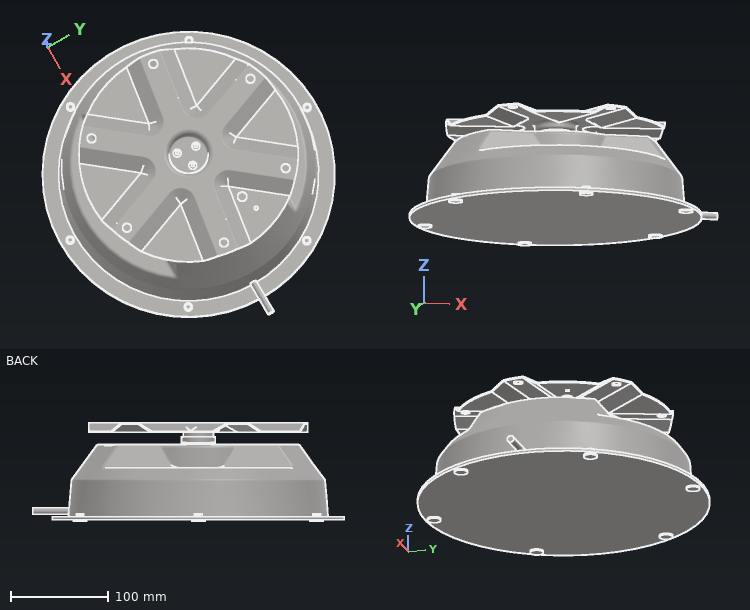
import cadquery as cq
import math

FLANGE_DIAMETER = 300.0
FLANGE_THICKNESS = 3.2
OVERALL_LENGTH = 320
OVERALL_HEIGHT = 101.0

FASTENER_COUNT = 6
FASTENER_CIRCLE_RADIUS = 140.0
FASTENER_FIRST_ANGLE = 30
FASTENER_HEAD_DIAMETER = 13.8
FASTENER_HEAD_HEIGHT = 1.5
STUD_DIAMETER = 8.0
STUD_HEIGHT = 3.0
STUD_BORE_DIAMETER = 5.8
STUD_BORE_DEPTH = 1.5

HOUSING_BOTTOM_RADIUS = 133.8
SHOULDER_RADIUS = 130.2
SHOULDER_Z = 41.0
HOUSING_TOP_RADIUS = 103.7
HOUSING_TOP_Z = 77.5
SHOULDER_FILLET = 3.2

NOTCH_FLOOR_Z = 53.0
NOTCH_WALL_BOTTOM_Y = 69.8
NOTCH_WALL_TOP_Y = 62.7
BULGE_RADIUS = 74.0
NOTCH_FILLET = 4.0

CABLE_DIAMETER = 7.0
CABLE_Z = 9.0
CABLE_END_X = OVERALL_LENGTH - FLANGE_DIAMETER / 2

NECK_DIAMETER = 25.5
COLLAR_DIAMETER = 35.0
COLLAR_BOTTOM_Z = 79.0
COLLAR_TOP_Z = 85.0
HUB_DIAMETER = 31.5

PLATE_DIAMETER = 225.0
SHEET_THICKNESS = 1.45
PLATE_TOP_Z = OVERALL_HEIGHT - FASTENER_HEAD_HEIGHT
PLATE_BOTTOM_Z = 89.5
SPOKE_COUNT = 6
SPOKE_PITCH = 360 / SPOKE_COUNT
SPOKE_ANGLE = -8.8
SPOKE_TOP_HALF_WIDTH = 11.2
SPOKE_BASE_HALF_WIDTH = 26.2
SPOKE_EDGE_FILLET = 2.0
SPOKE_HOLE_DIAMETER = 9.0
SPOKE_HOLE_RADIUS = 100.8

LARGE_HOLE_DIAMETER = 9.5
LARGE_HOLE_POSITION = (65.3, 26.0)
SMALL_HOLE_DIAMETER = 4.0
SMALL_HOLE_POSITION = (83.0, 32.3)

DISH_DIAMETER = 40.0
DISH_RIM_FILLET = 5.5
DISH_FLOOR_FILLET = 1.3

SCREW_COUNT = 3
SCREW_CIRCLE_RADIUS = 12.0
SCREW_HEAD_DIAMETER = 8.0
SCREW_HEAD_HEIGHT = 2.5
SCREW_HEAD_FILLET = 2.0
SCREW_SOCKET_DIAMETER = 3.5
SCREW_SOCKET_DEPTH = 2.0

POSITION_TOLERANCE = 0.3


def cylinder(diameter, bottom_z, top_z):
    return cq.Workplane("XY").workplane(offset=bottom_z).circle(diameter / 2).extrude(top_z - bottom_z)


def around(shape, radius, count, first_angle):
    """Copies of a shape built on the Z axis, spread evenly on a circle."""
    copies = cq.Workplane("XY")
    for index in range(count):
        angle = first_angle + index * 360 / count
        copies = copies.add(shape.translate((radius, 0, 0)).rotate((0, 0, 0), (0, 0, 1), angle))
    return copies.combine()


def make_notch(side):
    """Space outside the sloping wall and the round bulge; side is +1 or -1."""
    reach = FLANGE_DIAMETER / 2
    notch = (
        cq.Workplane("YZ")
        .polyline([
            (side * NOTCH_WALL_BOTTOM_Y, NOTCH_FLOOR_Z),
            (side * reach, NOTCH_FLOOR_Z),
            (side * reach, HOUSING_TOP_Z),
            (side * NOTCH_WALL_TOP_Y, HOUSING_TOP_Z),
        ])
        .close()
        .extrude(reach, both=True)
    )
    return notch.cut(cylinder(2 * BULGE_RADIUS, NOTCH_FLOOR_Z, HOUSING_TOP_Z))


def is_rounded_above_shoulder(edge):
    """All edges of the upper cone and notches, except where a bulge meets a notch floor."""
    centre = edge.Center()
    on_floor = abs(centre.z - NOTCH_FLOOR_Z) < POSITION_TOLERANCE
    bulge_foot = on_floor and edge.geomType() == "CIRCLE" and edge.radius() < BULGE_RADIUS + POSITION_TOLERANCE
    return centre.z > SHOULDER_Z + POSITION_TOLERANCE and not bulge_foot


def is_shoulder(edge):
    return abs(edge.Center().z - SHOULDER_Z) < POSITION_TOLERANCE


def make_housing():
    housing = (
        cq.Workplane("XZ")
        .polyline([
            (0, 0),
            (HOUSING_BOTTOM_RADIUS, 0),
            (SHOULDER_RADIUS, SHOULDER_Z),
            (HOUSING_TOP_RADIUS, HOUSING_TOP_Z),
            (0, HOUSING_TOP_Z),
        ])
        .close()
        .revolve(360, (0, 0), (0, 1))
    )
    for side in (1, -1):
        housing = housing.cut(make_notch(side))
    housing = housing.edges().filter(is_rounded_above_shoulder).fillet(NOTCH_FILLET)
    return housing.edges().filter(is_shoulder).fillet(SHOULDER_FILLET)


def make_fasteners():
    head = cylinder(FASTENER_HEAD_DIAMETER, -FASTENER_HEAD_HEIGHT, 0)
    stud_top = FLANGE_THICKNESS + STUD_HEIGHT
    stud = cylinder(STUD_DIAMETER, 0, stud_top)
    bore = cylinder(STUD_BORE_DIAMETER, stud_top - STUD_BORE_DEPTH, stud_top)
    fastener = head.union(stud).cut(bore)
    return around(fastener, FASTENER_CIRCLE_RADIUS, FASTENER_COUNT, FASTENER_FIRST_ANGLE)


def make_cable():
    return (
        cq.Workplane("YZ")
        .center(0, CABLE_Z)
        .circle(CABLE_DIAMETER / 2)
        .extrude(CABLE_END_X)
    )


def make_hub():
    neck = cylinder(NECK_DIAMETER, HOUSING_TOP_Z, COLLAR_BOTTOM_Z)
    collar = cylinder(COLLAR_DIAMETER, COLLAR_BOTTOM_Z, COLLAR_TOP_Z)
    hub = cylinder(HUB_DIAMETER, COLLAR_TOP_Z, PLATE_BOTTOM_Z)
    return neck.union(collar).union(hub)


def spoke_star(top_z, height, base_half_width, top_half_width):
    """Disc with six sloping valleys between its spokes.

    Each valley is a 60 degree wedge at the bottom that widens upwards;
    the corner of the wedge widens into a round end.
    """
    flank_run = base_half_width - top_half_width
    flank_angle = math.degrees(math.atan2(flank_run, height))
    half_wedge = math.radians(SPOKE_PITCH / 2)
    corner_x = base_half_width / math.sin(half_wedge)
    wedge_length = PLATE_DIAMETER
    wedge_half_width = wedge_length * math.tan(half_wedge)
    star = cylinder(PLATE_DIAMETER, top_z - height, top_z)
    valley = (
        cq.Workplane("XY")
        .workplane(offset=top_z - height)
        .polyline([
            (corner_x, 0),
            (corner_x + wedge_length, -wedge_half_width),
            (corner_x + wedge_length, wedge_half_width),
        ])
        .close()
        .extrude(height, taper=-flank_angle)
    )
    return star.cut(around(valley, 0, SPOKE_COUNT, SPOKE_ANGLE + SPOKE_PITCH / 2))


def is_inside_plate_rim(edge):
    centre = edge.Center()
    return math.hypot(centre.x, centre.y) < SPOKE_HOLE_RADIUS


def round_spoke_edges(star):
    return star.faces(">Z").edges().filter(is_inside_plate_rim).fillet(SPOKE_EDGE_FILLET)


def dish_shape(wall):
    """Round dish with a flared rim; a wall of 0 gives its inside, the sheet thickness its outside."""
    bottom_z = PLATE_BOTTOM_Z + SHEET_THICKNESS - wall
    top_z = PLATE_TOP_Z - wall
    radius = DISH_DIAMETER / 2 + wall
    flare = DISH_RIM_FILLET - wall
    corner = DISH_FLOOR_FILLET + wall
    return (
        cq.Workplane("XZ")
        .moveTo(0, bottom_z)
        .lineTo(radius - corner, bottom_z)
        .radiusArc((radius, bottom_z + corner), -corner)
        .lineTo(radius, top_z - flare)
        .radiusArc((radius + flare, top_z), flare)
        .lineTo(0, top_z)
        .close()
        .revolve(360, (0, 0), (0, 1))
    )


def make_plate():
    base_top_z = PLATE_BOTTOM_Z + SHEET_THICKNESS
    height = PLATE_TOP_Z - base_top_z
    flank_run = SPOKE_BASE_HALF_WIDTH - SPOKE_TOP_HALF_WIDTH
    slope = math.atan2(height, flank_run)
    inset = SHEET_THICKNESS * math.tan(slope / 2)
    outer = spoke_star(PLATE_TOP_Z, height, SPOKE_BASE_HALF_WIDTH, SPOKE_TOP_HALF_WIDTH)
    hollow = spoke_star(
        PLATE_TOP_Z - SHEET_THICKNESS, height, SPOKE_BASE_HALF_WIDTH - inset, SPOKE_TOP_HALF_WIDTH - inset
    )
    hollow = hollow.cut(dish_shape(SHEET_THICKNESS))
    sheet = cylinder(PLATE_DIAMETER, PLATE_BOTTOM_Z, base_top_z)
    plate = round_spoke_edges(outer).union(sheet).cut(hollow).cut(dish_shape(0))

    spoke_hole = cylinder(SPOKE_HOLE_DIAMETER, PLATE_BOTTOM_Z, PLATE_TOP_Z)
    plate = plate.cut(around(spoke_hole, SPOKE_HOLE_RADIUS, SPOKE_COUNT, SPOKE_ANGLE))
    for diameter, position in (
        (LARGE_HOLE_DIAMETER, LARGE_HOLE_POSITION),
        (SMALL_HOLE_DIAMETER, SMALL_HOLE_POSITION),
    ):
        plate = plate.cut(cylinder(diameter, PLATE_BOTTOM_Z, PLATE_TOP_Z).translate(position + (0,)))
    return plate


def make_screws():
    seat_z = PLATE_BOTTOM_Z + SHEET_THICKNESS
    head_top = seat_z + SCREW_HEAD_HEIGHT
    head = cylinder(SCREW_HEAD_DIAMETER, seat_z, head_top).faces(">Z").edges().fillet(SCREW_HEAD_FILLET)
    socket = cylinder(SCREW_SOCKET_DIAMETER, head_top - SCREW_SOCKET_DEPTH, head_top)
    return around(head.cut(socket), SCREW_CIRCLE_RADIUS, SCREW_COUNT, SPOKE_ANGLE)


result = cylinder(FLANGE_DIAMETER, 0, FLANGE_THICKNESS)
for piece in (make_housing(), make_fasteners(), make_cable(), make_hub(), make_plate(), make_screws()):
    result = result.union(piece)